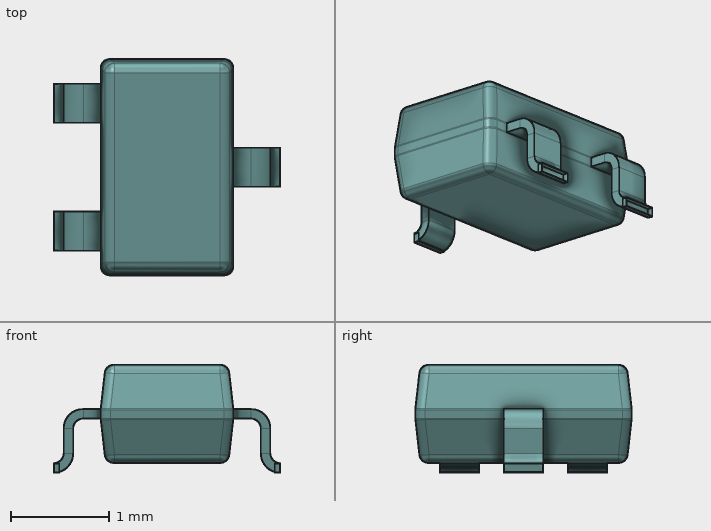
import cadquery as cq

lead_span = 2.3
lead_pitch = 1.3

housing_x = 1.35
housing_y = 2.2
housing_height = 1.0
standoff = 0.1
side_inset = 0.05
edge_radius = 0.1

thickness = 0.1
lead_width = 0.4
inner_radius = 0.1
foot_length = 0.055
recess_wall = 0.005

outer_radius = inner_radius + thickness
band_height = thickness
mid_height = standoff + housing_height / 2
lead_bottom = mid_height - thickness / 2
lead_top = mid_height + thickness / 2
tip_x = lead_span / 2
shank_outer_x = tip_x - inner_radius
shank_inner_x = shank_outer_x - thickness
upper_bend_x = shank_outer_x - outer_radius
shank_top = lead_top - outer_radius
shank_bottom = outer_radius


def make_tapered_half(direction):
    """Half of the housing from the band outwards: direction is 1 for up, -1 for down."""
    taper_height = (housing_height - band_height) / 2
    return (
        cq.Workplane("XY", origin=(0, 0, mid_height + direction * band_height / 2))
        .rect(housing_x, housing_y)
        .workplane(offset=direction * taper_height)
        .rect(housing_x - 2 * side_inset, housing_y - 2 * side_inset)
        .loft(ruled=True)
    )


def make_housing():
    """Block with a straight middle band, drafted walls above and below, all edges rounded."""
    band = cq.Workplane("XY", origin=(0, 0, mid_height)).box(housing_x, housing_y, band_height)
    block = band.union(make_tapered_half(1)).union(make_tapered_half(-1))
    return block.edges().fillet(edge_radius)


def make_bar(x_start, x_end, z_start, z_end, bar_width=lead_width):
    """Straight rectangular stretch of lead, centred on Y = 0."""
    return (
        cq.Workplane("XY")
        .box(x_end - x_start, bar_width, z_end - z_start, centered=(False, True, False))
        .translate((x_start, 0, z_start))
    )


def make_bend(center_x, center_z, x_sign, z_sign):
    """Quarter-turn of lead about a Y axis, in the quadrant given by the two signs."""
    ring = (
        cq.Workplane("XZ", origin=(center_x, lead_width / 2, center_z))
        .circle(outer_radius)
        .circle(inner_radius)
        .extrude(lead_width)
    )
    quadrant = cq.Workplane("XY").box(outer_radius, lead_width, outer_radius)
    offset_x = center_x + x_sign * outer_radius / 2
    offset_z = center_z + z_sign * outer_radius / 2
    return ring.intersect(quadrant.translate((offset_x, 0, offset_z)))


def make_lead():
    """Gull-wing lead on the +X side: run, upper bend, shank, lower bend and hollow-ended foot."""
    run = make_bar(housing_x / 2, upper_bend_x, lead_bottom, lead_top)
    upper_bend = make_bend(upper_bend_x, shank_top, 1, 1)
    shank = make_bar(shank_inner_x, shank_outer_x, shank_bottom, shank_top)
    lower_bend = make_bend(tip_x, shank_bottom, -1, -1)
    foot = make_bar(tip_x - foot_length, tip_x, 0, thickness)
    recess = make_bar(
        tip_x - foot_length,
        tip_x,
        recess_wall,
        thickness - recess_wall,
        lead_width - 2 * recess_wall,
    )

    lead = run
    for stretch in (upper_bend, shank, lower_bend, foot):
        lead = lead.union(stretch, clean=False)
    return lead.cut(recess, clean=False)


housing = make_housing()
lead = make_lead()
opposite_lead = lead.rotate((0, 0, 0), (0, 0, 1), 180)

leads = [lead.val()]
for side in (-1, 1):
    leads.append(opposite_lead.translate((0, side * lead_pitch / 2, 0)).val())

result = cq.Compound.makeCompound([housing.val(), *leads])